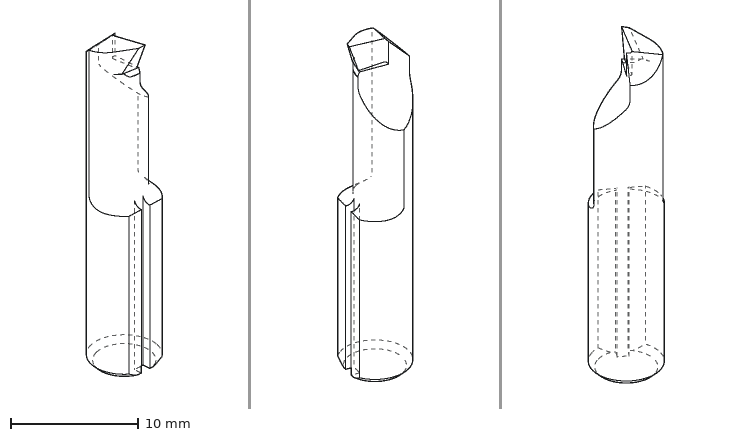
import cadquery as cq
import math

length = 30.0
shank_radius = 3.0
flat_x = 2.35
end_chamfer = 0.5
groove_half_width = 0.48

shelf_z = 15.05
neck_axis_x = -1.17
neck_radius = math.sqrt(shank_radius**2 - neck_axis_x**2)
neck_fillet = 0.75

half_face_y = 0.15
half_face_bottom_z = 26.4
ramp_angle = 41.0
ramp_fillet = 1.38

tip_x = 2.28
tip_y = 0.03
tip_bottom_z = 27.5
tip_bottom_x = 1.45
tip_runout_height = 0.45
end_relief_angle = 8.0
flank_angle = 45.0
rake_angle = 6.0
rake_wall_x = -1.15
rake_corner_radius = 0.2

top_slope_x = 0.09
top_slope_y = 0.15
back_edge_z = 27.72
back_slope_x = 1.0
back_slope_y = 0.07

clearance = 1.5
cutter_size = 18.0


def shank():
    body = cq.Workplane("XY").circle(shank_radius).extrude(length + clearance)
    body = body.faces("<Z").chamfer(end_chamfer)
    beyond_flat = cq.Workplane("XY").box(
        clearance, 2 * shank_radius, length + clearance, centered=(False, True, False)
    )
    return body.cut(beyond_flat.translate((flat_x, 0, 0)))


def neck_cutter():
    """Half ring around the neck, with a fillet down to the shelf."""
    top_z = length + 2 * clearance
    outer_radius = shank_radius - neck_axis_x + clearance
    diagonal = neck_fillet * (1 - math.sqrt(0.5))
    profile = (
        cq.Workplane("XZ")
        .moveTo(neck_radius, top_z)
        .lineTo(neck_radius, shelf_z + neck_fillet)
        .threePointArc(
            (neck_radius + diagonal, shelf_z + diagonal),
            (neck_radius + neck_fillet, shelf_z),
        )
        .lineTo(outer_radius, shelf_z)
        .lineTo(outer_radius, top_z)
        .close()
    )
    ring = profile.revolve(180, (0, 0, 0), (0, 1, 0)).rotate((0, 0, 0), (0, 0, 1), -90)
    return ring.translate((neck_axis_x, 0, 0))


def groove_cutter():
    """Groove along the flat, level with the neck surface."""
    floor_x = neck_axis_x + neck_radius
    groove = cq.Workplane("XY").box(
        clearance, 2 * groove_half_width, shelf_z + clearance, centered=(False, True, False)
    )
    return groove.translate((floor_x, 0, 0))


def tip_blade():
    """Block whose flank leaves the neck surface along a tangent."""
    angle = math.radians(flank_angle)
    tangent_x = neck_axis_x + neck_radius * math.cos(angle)
    tangent_y = -neck_radius * math.sin(angle)
    outer_x = tip_x + half_face_y
    outer_y = tangent_y + (outer_x - tangent_x) / math.tan(angle)
    return (
        cq.Workplane("XY", origin=(0, 0, tip_bottom_z))
        .moveTo(tangent_x, tangent_y)
        .lineTo(outer_x, outer_y)
        .lineTo(outer_x, half_face_y)
        .lineTo(neck_axis_x, half_face_y)
        .lineTo(neck_axis_x, tangent_y)
        .close()
        .extrude(length + clearance - tip_bottom_z)
    )


def half_face_cutter():
    angle = math.radians(ramp_angle)
    fillet_end_y = half_face_y + ramp_fillet * (1 - math.cos(angle))
    fillet_end_z = half_face_bottom_z - ramp_fillet * math.sin(angle)
    fillet_mid_y = half_face_y + ramp_fillet * (1 - math.cos(angle / 2))
    fillet_mid_z = half_face_bottom_z - ramp_fillet * math.sin(angle / 2)
    outer_y = shank_radius + clearance
    outer_z = fillet_end_z - (outer_y - fillet_end_y) / math.tan(angle)
    top_z = length + 2 * clearance
    return (
        cq.Workplane("YZ")
        .moveTo(half_face_y, top_z)
        .lineTo(half_face_y, half_face_bottom_z)
        .threePointArc((fillet_mid_y, fillet_mid_z), (fillet_end_y, fillet_end_z))
        .lineTo(outer_y, outer_z)
        .lineTo(outer_y, top_z)
        .close()
        .extrude(2 * shank_radius, both=True)
    )


def rake_cutter():
    """Pocket in the half face that forms the inclined rake face."""
    slope = math.tan(math.radians(rake_angle))
    outer_x = tip_x + clearance
    return (
        cq.Workplane("XY", origin=(0, 0, tip_bottom_z))
        .moveTo(rake_wall_x, half_face_y + clearance)
        .lineTo(rake_wall_x, tip_y - (tip_x - rake_wall_x) * slope)
        .lineTo(outer_x, tip_y + (outer_x - tip_x) * slope)
        .lineTo(outer_x, half_face_y + clearance)
        .close()
        .extrude(length)
        .edges("|Z and <Y")
        .fillet(rake_corner_radius)
    )


def end_relief_cutter():
    """Trims the tip end to a slope that leans back below and behind the cutting point."""
    neck_edge_x = neck_axis_x + neck_radius
    slope = (tip_x - tip_bottom_x) / (length - tip_bottom_z)
    outer_x = tip_x + clearance
    top_z = length + clearance
    return (
        cq.Workplane("XZ")
        .moveTo(neck_edge_x, tip_bottom_z - tip_runout_height)
        .lineTo(tip_bottom_x, tip_bottom_z)
        .lineTo(tip_x + slope * clearance, top_z)
        .lineTo(outer_x, top_z)
        .lineTo(outer_x, tip_bottom_z - tip_runout_height)
        .close()
        .extrude(shank_radius, both=True)
        .translate((0, tip_y, 0))
        .rotate((tip_x, tip_y, 0), (tip_x, tip_y, 1), -end_relief_angle)
    )


def above_plane(point, slope_x, slope_y):
    """Block filling the space above a sloping plane through a point."""
    plane = cq.Plane(origin=point, xDir=(1, 0, slope_x), normal=(-slope_x, -slope_y, 1))
    return cq.Workplane(plane).rect(cutter_size, cutter_size).extrude(cutter_size)


body = shank().cut(neck_cutter()).cut(groove_cutter()).union(tip_blade())
body = body.cut(half_face_cutter()).cut(rake_cutter()).cut(end_relief_cutter())
body = body.cut(above_plane((tip_x, tip_y, length), top_slope_x, top_slope_y))
result = body.cut(above_plane((-shank_radius, 0, back_edge_z), back_slope_x, back_slope_y))